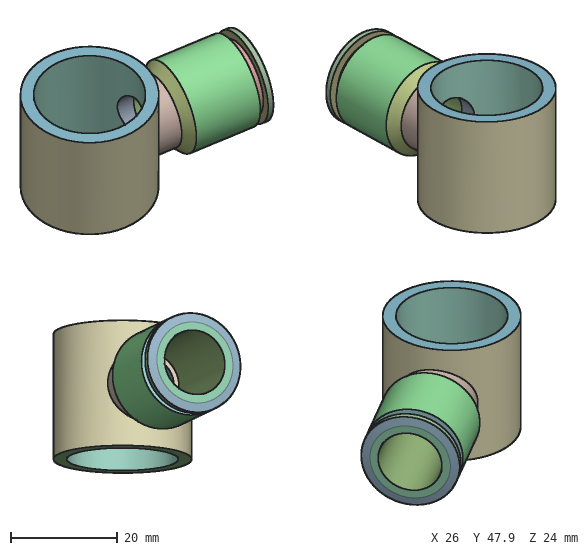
import cadquery as cq
import math

RING_OUTER_DIAMETER = 26.0
RING_INNER_DIAMETER = 21.0
RING_HEIGHT = 24.0

BRANCH_LENGTH = 34.9
BODY_RADIUS = 9.5
GROOVE_RADIUS = 7.75
NECK_RADIUS = 7.5
COLLAR_LENGTH = 1.5
GROOVE_WIDTH = 1.7
BODY_LENGTH = 14.0
SHOULDER_LENGTH = BODY_RADIUS - NECK_RADIUS

END_SLOPE_ANGLE = 10.0
END_SLOPE_LENGTH = (BODY_RADIUS - GROOVE_RADIUS) * math.tan(math.radians(END_SLOPE_ANGLE))

COLLAR_START = BRANCH_LENGTH - COLLAR_LENGTH
GROOVE_START = COLLAR_START - GROOVE_WIDTH
BODY_START = GROOVE_START - BODY_LENGTH
SHOULDER_START = BODY_START - SHOULDER_LENGTH

PORT_DIAMETER = 10.3
SOCKET_DIAMETER = 12.3
SOCKET_DEPTH_IN_NECK = 3.0
SOCKET_START = SHOULDER_START - SOCKET_DEPTH_IN_NECK


def y_cylinder(diameter, start, end):
    """Cylinder on the Y axis between two Y positions."""
    cylinder = cq.Workplane("XZ").circle(diameter / 2).extrude(start - end)
    return cylinder.translate((0, start, 0))


def ring_cylinder(diameter):
    """Cylinder on the Z axis with the height of the ring, centred on the origin."""
    return cq.Workplane("XY").circle(diameter / 2).extrude(RING_HEIGHT / 2, both=True)


def branch_body():
    """Neck, conical shoulder, main body, groove and sloped end collar, turned about Y."""
    half_profile = [
        (0, 0),
        (NECK_RADIUS, 0),
        (NECK_RADIUS, SHOULDER_START),
        (BODY_RADIUS, BODY_START),
        (BODY_RADIUS, GROOVE_START),
        (GROOVE_RADIUS, GROOVE_START),
        (GROOVE_RADIUS, COLLAR_START),
        (BODY_RADIUS, COLLAR_START),
        (BODY_RADIUS, BRANCH_LENGTH - END_SLOPE_LENGTH),
        (GROOVE_RADIUS, BRANCH_LENGTH),
        (0, BRANCH_LENGTH),
    ]
    return cq.Workplane("XY").polyline(half_profile).close().revolve(360, (0, 0, 0), (0, 1, 0))


def branch_bore():
    """Stepped bore running from inside the ring to the open end of the branch."""
    port = y_cylinder(PORT_DIAMETER, 0, SOCKET_START)
    socket = y_cylinder(SOCKET_DIAMETER, SOCKET_START, BRANCH_LENGTH)
    return port.union(socket)


outside = ring_cylinder(RING_OUTER_DIAMETER).union(branch_body())
result = outside.cut(ring_cylinder(RING_INNER_DIAMETER)).cut(branch_bore()).solids()